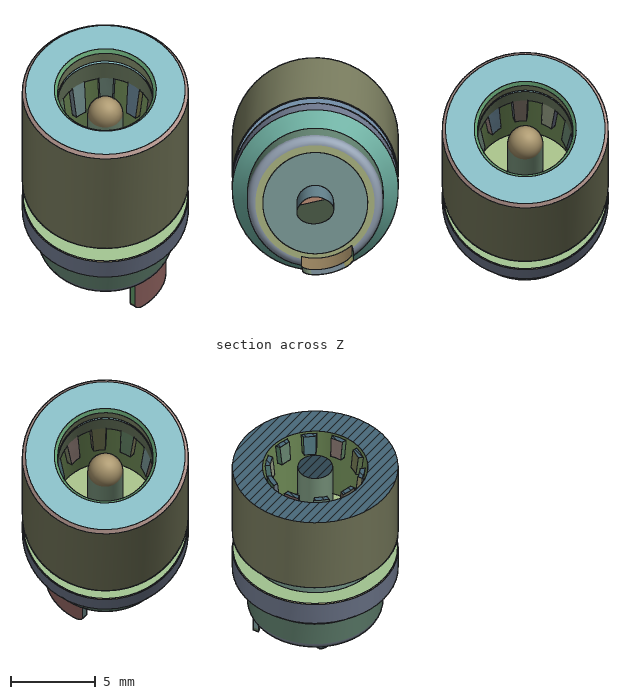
import cadquery as cq

TOTAL_HEIGHT = 17.6
HOUSING_DIAMETER = 9.8
HOUSING_RADIUS = HOUSING_DIAMETER / 2
HOUSING_BOTTOM_Z = 2.6
BASE_RADIUS = 4.01
BASE_FILLET = 0.5
COLLAR_TOP_Z = 7.15
COLLAR_BOTTOM_Z = 5.6
GROOVE_RADIUS = 3.9
GROOVE_TOP_Z = 8.4
GROOVE_EDGE_CHAMFER = 0.05
TOP_CHAMFER = 0.2

BORE_RADIUS = 3.1
MOUTH_RADIUS = 2.82
MOUTH_CHAMFER = 0.2
LIP_BOTTOM_Z = 16.63

TAB_OUTER_RADIUS = 3.68
TAB_INNER_RADIUS = 3.36
TAB_WIDTH = 3.06
TAB_CORNER_RADIUS = 0.53

FLOOR_Z = 8.8

PIN_TAIL_RADIUS = 1.1
PIN_SHOULDER_RADIUS = 1.25
PIN_SHOULDER_HEIGHT = 1.05
PIN_HEAD_RADIUS = 1.04
PIN_TOP_Z = 16.28
BEVEL_TOP_Z = 2.0
BEVEL_TIP_X = -0.77

SLEEVE_GAP = 0.18
SLEEVE_TOP_Z = LIP_BOTTOM_Z - SLEEVE_GAP
SLEEVE_INNER_RADIUS = 2.8
SLIT_TOP_Z = 14.92
SLIT_WIDTH = 0.9
FINGER_COUNT = 10
FINGER_TIP_Z = 12.32
FINGER_TIP_RADIUS = 2.52
FINGER_THICKNESS = BORE_RADIUS - SLEEVE_INNER_RADIUS


def cylinder(radius, bottom, top):
    return cq.Workplane("XY").workplane(offset=bottom).circle(radius).extrude(top - bottom)


def revolve_profile(points):
    """Turn a closed (radius, z) outline about the Z axis."""
    return cq.Workplane("YZ").polyline(points).close().revolve(360, (0, 0), (0, 1))


def make_tab():
    top = HOUSING_BOTTOM_Z + BASE_FILLET
    wall = cylinder(TAB_OUTER_RADIUS, 0, top).cut(cylinder(TAB_INNER_RADIUS, 0, top))
    strip = (
        cq.Workplane("YZ")
        .center(0, top / 2)
        .rect(TAB_WIDTH, top)
        .extrude(TAB_OUTER_RADIUS)
        .edges("|X and <Z")
        .fillet(TAB_CORNER_RADIUS)
    )
    return wall.intersect(strip)


def make_housing():
    cone_height = HOUSING_RADIUS - BASE_RADIUS
    edge_radius = HOUSING_RADIUS - GROOVE_EDGE_CHAMFER
    body = revolve_profile([
        (0, HOUSING_BOTTOM_Z),
        (BASE_RADIUS, HOUSING_BOTTOM_Z),
        (BASE_RADIUS, COLLAR_BOTTOM_Z - cone_height),
        (HOUSING_RADIUS, COLLAR_BOTTOM_Z),
        (HOUSING_RADIUS, COLLAR_TOP_Z - GROOVE_EDGE_CHAMFER),
        (edge_radius, COLLAR_TOP_Z),
        (GROOVE_RADIUS, COLLAR_TOP_Z),
        (GROOVE_RADIUS, GROOVE_TOP_Z),
        (edge_radius, GROOVE_TOP_Z),
        (HOUSING_RADIUS, GROOVE_TOP_Z + GROOVE_EDGE_CHAMFER),
        (HOUSING_RADIUS, TOTAL_HEIGHT - TOP_CHAMFER),
        (HOUSING_RADIUS - TOP_CHAMFER, TOTAL_HEIGHT),
        (0, TOTAL_HEIGHT),
    ])
    body = body.faces("<Z").edges().fillet(BASE_FILLET)
    cavity = revolve_profile([
        (0, HOUSING_BOTTOM_Z),
        (BORE_RADIUS, HOUSING_BOTTOM_Z),
        (BORE_RADIUS, LIP_BOTTOM_Z),
        (MOUTH_RADIUS, LIP_BOTTOM_Z),
        (MOUTH_RADIUS, TOTAL_HEIGHT - MOUTH_CHAMFER),
        (MOUTH_RADIUS + MOUTH_CHAMFER, TOTAL_HEIGHT),
        (0, TOTAL_HEIGHT),
    ])
    return body.cut(cavity).union(make_tab())


def make_insulator():
    shoulder_bottom = FLOOR_Z - PIN_SHOULDER_HEIGHT
    disc = cylinder(BORE_RADIUS, HOUSING_BOTTOM_Z, FLOOR_Z)
    disc = disc.cut(cylinder(PIN_TAIL_RADIUS, HOUSING_BOTTOM_Z, FLOOR_Z))
    return disc.cut(cylinder(PIN_SHOULDER_RADIUS, shoulder_bottom, FLOOR_Z))


def make_pin():
    dome_base = PIN_TOP_Z - PIN_HEAD_RADIUS
    tail = cylinder(PIN_TAIL_RADIUS, 0, FLOOR_Z)
    shoulder = cylinder(PIN_SHOULDER_RADIUS, FLOOR_Z - PIN_SHOULDER_HEIGHT, FLOOR_Z)
    head = cylinder(PIN_HEAD_RADIUS, FLOOR_Z, dome_base)
    dome = cq.Workplane("XY").sphere(PIN_HEAD_RADIUS).translate((0, 0, dome_base))
    bevel = (
        cq.Workplane("XZ")
        .polyline([(BEVEL_TIP_X, 0), (PIN_TAIL_RADIUS, 0), (PIN_TAIL_RADIUS, BEVEL_TOP_Z)])
        .close()
        .extrude(PIN_TAIL_RADIUS, both=True)
    )
    return tail.union(shoulder).union(head).union(dome).cut(bevel)


def make_sleeve():
    """A collar in the bore whose fingers lean inward toward their lower tips."""
    sleeve = revolve_profile([
        (SLEEVE_INNER_RADIUS, SLEEVE_TOP_Z),
        (BORE_RADIUS, SLEEVE_TOP_Z),
        (BORE_RADIUS, SLIT_TOP_Z),
        (FINGER_TIP_RADIUS + FINGER_THICKNESS, FINGER_TIP_Z),
        (FINGER_TIP_RADIUS, FINGER_TIP_Z),
        (SLEEVE_INNER_RADIUS, SLIT_TOP_Z),
    ])
    slit = (
        cq.Workplane("XY")
        .workplane(offset=FINGER_TIP_Z)
        .center(BORE_RADIUS / 2, 0)
        .rect(BORE_RADIUS, SLIT_WIDTH)
        .extrude(SLIT_TOP_Z - FINGER_TIP_Z)
    )
    for i in range(FINGER_COUNT):
        sleeve = sleeve.cut(slit.rotate((0, 0, 0), (0, 0, 1), i * 360 / FINGER_COUNT))
    return sleeve


housing = make_housing()
insulator = make_insulator()
pin = make_pin()
sleeve = make_sleeve()

result = cq.Compound.makeCompound([housing.val(), insulator.val(), pin.val(), sleeve.val()])